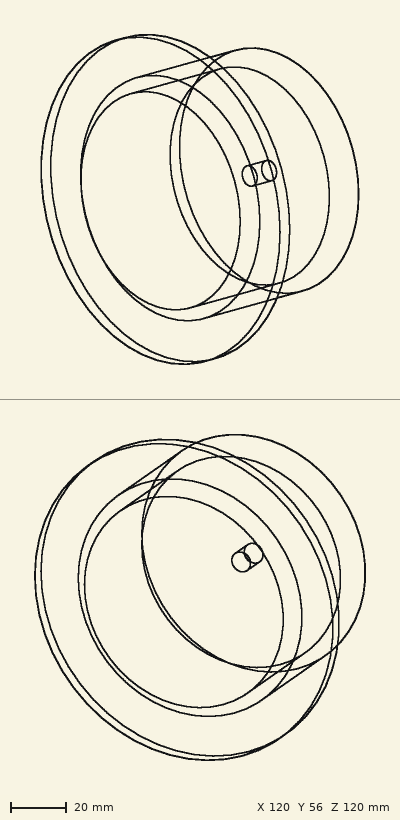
import cadquery as cq

flange_diameter = 120.0
flange_thickness = 5.0
overall_length = 56.0
bore_diameter = 80.0
wall_thickness = 5.0
floor_thickness = 10.0
centre_hole_diameter = 7.5

body_diameter = bore_diameter + 2 * wall_thickness
bore_depth = overall_length - floor_thickness


def cylinder_along_y(diameter, length):
    """Cylinder centred on the Y axis, from the open face at Y = 0 toward +Y."""
    return cq.Workplane("XZ").circle(diameter / 2).extrude(-length)


flange = cylinder_along_y(flange_diameter, flange_thickness)
body = cylinder_along_y(body_diameter, overall_length)

bore = cylinder_along_y(bore_diameter, bore_depth)
centre_hole = cylinder_along_y(centre_hole_diameter, overall_length)

result = flange.union(body).cut(bore).cut(centre_hole)